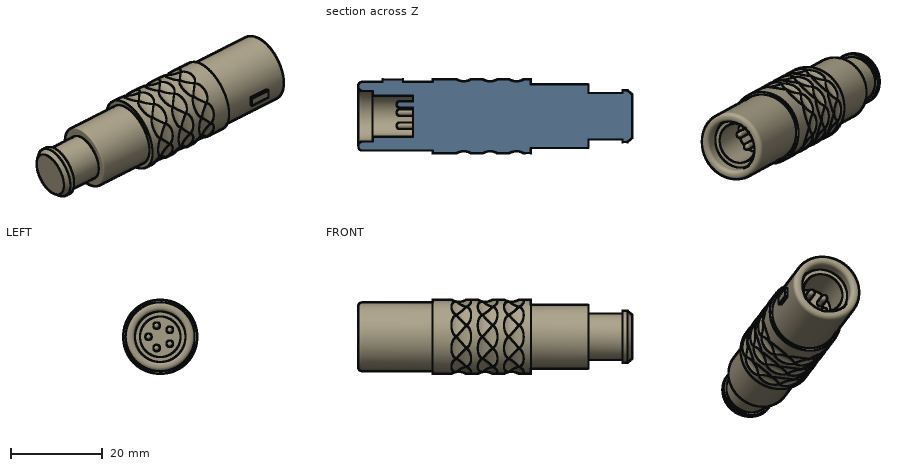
import cadquery as cq
import math

length = 59.8
sleeve_start = 16.25
sleeve_end = 37.7
rear_end = 50.3
flange_start = 57.65
flange_chamfer_start = 58.7

shell_radius = 7.55
sleeve_diameter = 16.2
sleeve_radius = sleeve_diameter / 2
rear_radius = 7.0
neck_radius = 5.1
flange_radius = 5.7
flange_end_radius = 4.8
rear_fillet = 0.3

mouth_radius = 5.5
socket_radius = 4.4
mouth_depth = 3.15
socket_depth = 11.95
rim_fillet = 0.9

pin_count = 5
pin_radius = 0.7
pin_circle_radius = 2.6
pin_tip = 8.4

key_start = 5.25
key_end = 9.8
key_width = 2.0

band_count = 3
band_pitch = 5.75
rows_per_band = 2
first_row = 21.95
row_spacing = 1.1
scallops_per_row = 10
scallop_depth = 0.45
scallop_half_width = 1.6
scallop_radius = (scallop_half_width**2 + scallop_depth**2) / (2 * scallop_depth)


def cylinder_along_x(start, end, radius, y=0.0, z=0.0):
    """Round bar between two X stations, centred on the given Y and Z."""
    return cq.Workplane("YZ", origin=(start, y, z)).circle(radius).extrude(end - start)


def make_body():
    """Stepped round body with the socket bored into the mating end."""
    shell = cylinder_along_x(0, sleeve_start, shell_radius)
    shell = shell.cut(cylinder_along_x(0, mouth_depth, mouth_radius))
    shell = shell.faces("<X").edges().fillet(rim_fillet)
    sleeve = cylinder_along_x(sleeve_start, sleeve_end, sleeve_radius)
    rear = cylinder_along_x(sleeve_end, rear_end, rear_radius).faces(">X").edges().fillet(rear_fillet)
    tail_outline = [
        (rear_end, 0),
        (rear_end, neck_radius),
        (flange_start, neck_radius),
        (flange_start, flange_radius),
        (flange_chamfer_start, flange_radius),
        (length, flange_end_radius),
        (length, 0),
    ]
    tail = cq.Workplane("XY").polyline(tail_outline).close().revolve(360, (0, 0, 0), (1, 0, 0))
    body = shell.union(sleeve).union(rear).union(tail)
    return body.cut(cylinder_along_x(mouth_depth, socket_depth, socket_radius))


def make_key():
    """Raised rectangular key with a curved top, flush with the sleeve and seated in the shell wall."""
    seat = (shell_radius + mouth_radius) / 2
    block = cq.Workplane("XY").box(
        key_end - key_start, sleeve_radius - seat, key_width, centered=(False, False, True)
    )
    block = block.translate((key_start, seat, 0))
    return block.intersect(cylinder_along_x(key_start, key_end, sleeve_radius))


def make_pins():
    """Round-nosed pins spaced evenly, the first one on the +Y side."""
    pins = cq.Workplane("XY")
    for index in range(pin_count):
        angle = 2 * math.pi * index / pin_count
        y = pin_circle_radius * math.cos(angle)
        z = pin_circle_radius * math.sin(angle)
        shank = cylinder_along_x(pin_tip + pin_radius, socket_depth, pin_radius, y, z)
        nose = cq.Workplane("XY").sphere(pin_radius).translate((pin_tip + pin_radius, y, z))
        pins = pins.union(shank).union(nose)
    return pins


def cut_scallops(body):
    """Shallow cylindrical scoops, square to the X axis, around the sleeve."""
    step = 360 / scallops_per_row
    axis_height = sleeve_radius - scallop_depth + scallop_radius
    scoop_length = sleeve_radius
    scoop = (
        cq.Workplane("XZ", origin=(0, scoop_length / 2, axis_height))
        .circle(scallop_radius)
        .extrude(scoop_length)
    )
    for band in range(band_count):
        for row in range(rows_per_band):
            x = first_row + band * band_pitch + row * row_spacing
            for index in range(scallops_per_row):
                angle = step * (index + row / rows_per_band)
                body = body.cut(scoop.rotate((0, 0, 0), (1, 0, 0), angle).translate((x, 0, 0)))
    return body


result = cut_scallops(make_body()).union(make_key()).union(make_pins())